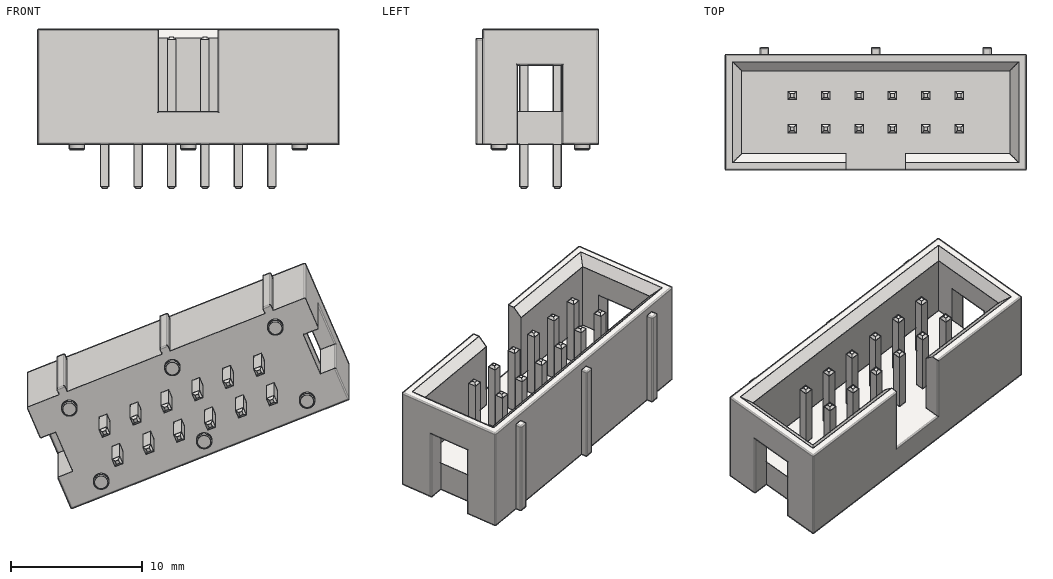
import cadquery as cq

body_length = 22.85
body_width = 8.8
body_height = 8.75
wall = 1.25
floor_height = 2.51
mouth_chamfer = 0.69
edge_round = 0.1

notch_width = 4.48
window_width = 3.38
window_offset = 0.05
window_top = 6.0

pin_columns = 6
pin_rows = 2
pin_pitch = 2.54
pin_side = 0.65
pin_taper = 0.18
pin_top = 8.15
pin_bottom = -3.35

foot_spacing = 8.45
foot_row_y = 3.15
foot_diameter = 1.19
foot_height = 0.4
foot_chamfer = 0.1
rib_width = 0.66
rib_depth = 0.5
rib_top = 8.05
rib_round = 0.1

back_y = body_width / 2
front_y = -body_width / 2
end_x = body_length / 2
column_xs = [-foot_spacing, 0, foot_spacing]


def block(length, width, height, x=0, y=0, z=0):
    """Box centred on (x, y) with its base at height z."""
    return cq.Workplane("XY").box(length, width, height, centered=(True, True, False)).translate((x, y, z))


def is_rounded(edge):
    """True for every edge above the bottom plane and for bottom edges on the -Y half."""
    middle = edge.Center()
    return middle.z > edge_round or middle.y < 0


def make_shroud():
    """Box with a floor, a chamfered mouth, the notch and the end windows."""
    shroud = block(body_length, body_width, body_height)
    cavity = block(body_length - 2 * wall, body_width - 2 * wall, body_height, z=floor_height)
    mouth = (
        cq.Workplane("XY", origin=(0, 0, body_height))
        .rect(body_length - 2 * (wall - mouth_chamfer), body_width - 2 * (wall - mouth_chamfer))
        .workplane(offset=-mouth_chamfer)
        .rect(body_length - 2 * wall, body_width - 2 * wall)
        .loft(ruled=True)
    )
    notch = block(notch_width, wall, body_height, y=front_y + wall / 2, z=floor_height)
    shroud = shroud.cut(notch)
    for side in (-1, 1):
        window_x = side * (end_x - wall / 2)
        shroud = shroud.cut(block(wall, window_width, window_top, window_x, window_offset))

    outer_edges = shroud.faces("<X or >X or <Y or >Y").edges()
    shroud = outer_edges.filter(is_rounded).fillet(edge_round)
    return shroud.cut(cavity).cut(mouth)


def make_pin(x, y):
    """Square post running through the floor, tapered at both ends."""
    pin = block(pin_side, pin_side, pin_top - pin_bottom, x, y, pin_bottom)
    return pin.faces("<Z or >Z").chamfer(pin_taper)


def make_foot(x, y):
    """Short round standoff under the floor."""
    foot = cq.Workplane("XY", origin=(x, y, 0)).circle(foot_diameter / 2).extrude(-foot_height)
    return foot.faces("<Z").chamfer(foot_chamfer)


def make_rib(x):
    """Upright rib on the +Y wall, rooted in the wall and rounded on its outer edges."""
    root = wall / 2
    depth = root + rib_depth
    rib = block(rib_width, depth, rib_top, x, back_y - root + depth / 2)
    return rib.faces(">Y or >Z").edges().fillet(rib_round)


result = make_shroud()
for column in range(pin_columns):
    for row in range(pin_rows):
        pin_x = (column - (pin_columns - 1) / 2) * pin_pitch
        pin_y = (row - (pin_rows - 1) / 2) * pin_pitch
        result = result.union(make_pin(pin_x, pin_y))
for column_x in column_xs:
    result = result.union(make_rib(column_x))
    for foot_y in (-foot_row_y, foot_row_y):
        result = result.union(make_foot(column_x, foot_y))